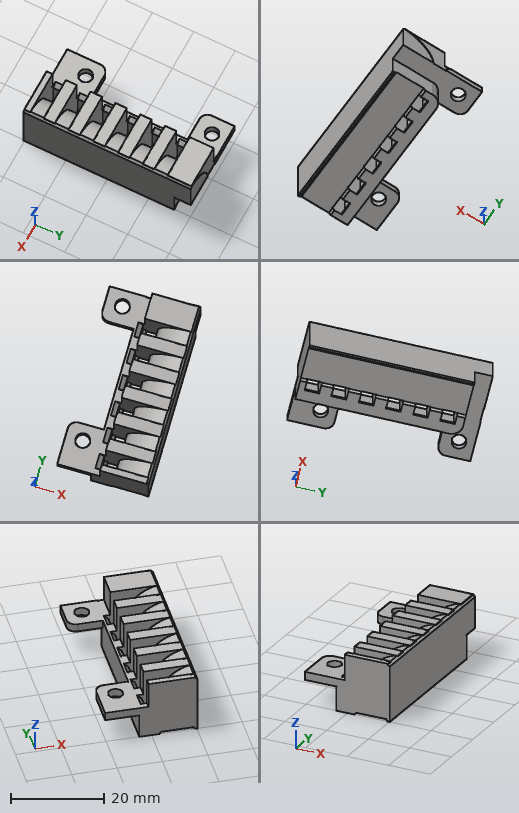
import cadquery as cq
import math


length = 40.4
width = 20.39
height = 13.63

plate_bottom = 5.69
plate_top = 7.63
tab_corner_radius = 2.0
near_tab_length = 10.0
far_tab_length = 7.5
hole_diameter = 3.2
hole_x = 3.87
hole_ys = (6.45, 36.95)

base_x = 7.53
upper_x = 9.57
base_length = 36.4
base_corner_radius = 2.5
top_chamfer = 0.6
lip_x = 19.95

groove_depth = 0.5
groove_x_min = 12.38
groove_x_max = 19.45

slot_count = 6
slot_pitch = 5.98
slot_width = 3.22
first_slot_y = 1.43
wide_slot_index = 1
wide_slot_extra = 0.1
end_notch_depth = 0.1
slot_mouth_x = 8.15
slot_wall_x = 9.2
slot_throat_x = 9.98
slot_ledge_top = 1.5
guide_x = 12.42
guide_radius = 9.0
guide_center_z = 4.75

overrun = 1.0


def extrude_along_y(profile, y_start, distance):
    """Extrude a profile drawn in X and Z from y_start towards +Y."""
    return profile.close().extrude(-distance).translate((0, y_start, 0))


def make_plate():
    plate_thickness = plate_top - plate_bottom
    plate = (
        cq.Workplane("XY", origin=(0, 0, plate_bottom))
        .moveTo(0, 0)
        .lineTo(width, 0)
        .lineTo(width, length)
        .lineTo(0, length)
        .lineTo(0, length - far_tab_length)
        .lineTo(base_x, length - far_tab_length)
        .lineTo(base_x, near_tab_length)
        .lineTo(0, near_tab_length)
        .close()
        .extrude(plate_thickness)
    )
    for corner_y in (near_tab_length, length - far_tab_length):
        nearest = cq.selectors.NearestToPointSelector((0, corner_y, plate_bottom + plate_thickness / 2))
        plate = plate.edges(nearest).fillet(tab_corner_radius)
    holes = (
        cq.Workplane("XY", origin=(0, 0, plate_bottom))
        .pushPoints([(hole_x, y) for y in hole_ys])
        .circle(hole_diameter / 2)
        .extrude(plate_thickness)
    )
    return plate.cut(holes)


def make_base():
    """Lower body, with its -X far corner rounded and a groove underneath."""
    base = (
        cq.Workplane("XY")
        .box(width - base_x, base_length, plate_top, centered=False)
        .translate((base_x, 0, 0))
    )
    base = base.edges("|Z and <X and >Y").fillet(base_corner_radius)
    groove = (
        cq.Workplane("XZ")
        .moveTo(groove_x_min - groove_depth, 0)
        .lineTo(groove_x_min, groove_depth)
        .lineTo(groove_x_max, groove_depth)
        .lineTo(groove_x_max + groove_depth, 0)
    )
    return base.cut(extrude_along_y(groove, 0, base_length))


def make_upper_block():
    """Block above the plate; its top ends in a small lip over the chamfer."""
    chamfer_bottom = height - top_chamfer
    lip_bottom = chamfer_bottom + (width - lip_x)
    profile = (
        cq.Workplane("XZ")
        .moveTo(upper_x, plate_bottom)
        .lineTo(width, plate_bottom)
        .lineTo(width, chamfer_bottom)
        .lineTo(lip_x, lip_bottom)
        .lineTo(lip_x, height)
        .lineTo(upper_x, height)
    )
    return extrude_along_y(profile, 0, length)


def slot_cutter(y_start, distance):
    """Wire slot: sloped mouth, narrow throat and a convex guide rising to the top edge."""
    guide_center_x = guide_x + guide_radius

    def guide_point(angle):
        x = guide_center_x - guide_radius * math.cos(angle)
        return x, guide_center_z + guide_radius * math.sin(angle)

    chamfer_sum = width + height - top_chamfer
    chamfer_offset = chamfer_sum - guide_center_x - guide_center_z
    end_angle = math.pi / 4 + math.asin(chamfer_offset / (guide_radius * math.sqrt(2)))
    cut_end_x = width + overrun
    profile = (
        cq.Workplane("XZ")
        .moveTo(slot_mouth_x, plate_top)
        .lineTo(slot_wall_x, plate_top - (slot_wall_x - slot_mouth_x))
        .lineTo(slot_wall_x, slot_ledge_top)
        .lineTo(slot_throat_x, slot_ledge_top - (slot_throat_x - slot_wall_x))
        .lineTo(slot_throat_x, -overrun)
        .lineTo(guide_x, -overrun)
        .lineTo(guide_x, guide_center_z)
        .threePointArc(guide_point(end_angle / 2), guide_point(end_angle))
        .lineTo(cut_end_x, chamfer_sum - cut_end_x)
        .lineTo(cut_end_x, height + overrun)
        .lineTo(slot_mouth_x, height + overrun)
    )
    return extrude_along_y(profile, y_start, distance)


result = make_plate().union(make_base()).union(make_upper_block())
for index in range(slot_count):
    extra = wide_slot_extra if index == wide_slot_index else 0
    slot_y = first_slot_y + index * slot_pitch - extra
    result = result.cut(slot_cutter(slot_y, slot_width + extra))
result = result.cut(slot_cutter(length - end_notch_depth, end_notch_depth + overrun))